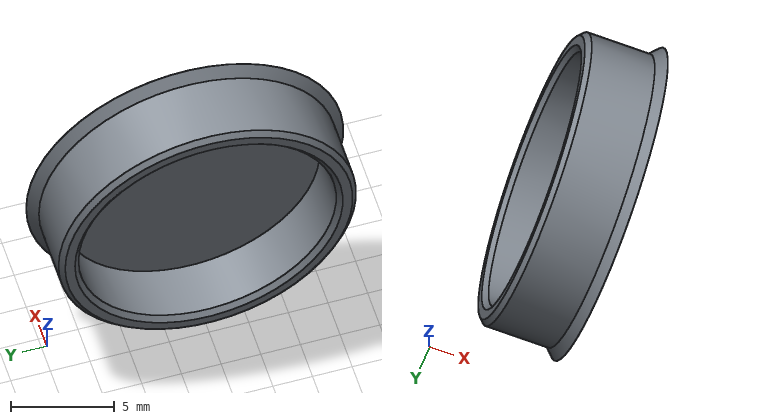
import cadquery as cq

length = 4.0
flange_diameter = 16.0
body_diameter = 15.0
bore_diameter = 13.0
rim_chamfer = 0.25
floor_thickness = 1.0

body_radius = body_diameter / 2
bore_radius = bore_diameter / 2
flange_radius = flange_diameter / 2
flare = flange_radius - body_radius
cup_depth = length - floor_thickness

half_section = (
    cq.Workplane("XY")
    .moveTo(cup_depth, 0)
    .lineTo(cup_depth, bore_radius)
    .lineTo(rim_chamfer, bore_radius)
    .lineTo(0, bore_radius + rim_chamfer)
    .lineTo(0, body_radius - rim_chamfer)
    .lineTo(rim_chamfer, body_radius)
    .lineTo(length - flare, body_radius)
    .lineTo(length, flange_radius)
    .lineTo(length, 0)
    .close()
)

result = half_section.revolve(360, (0, 0, 0), (1, 0, 0))